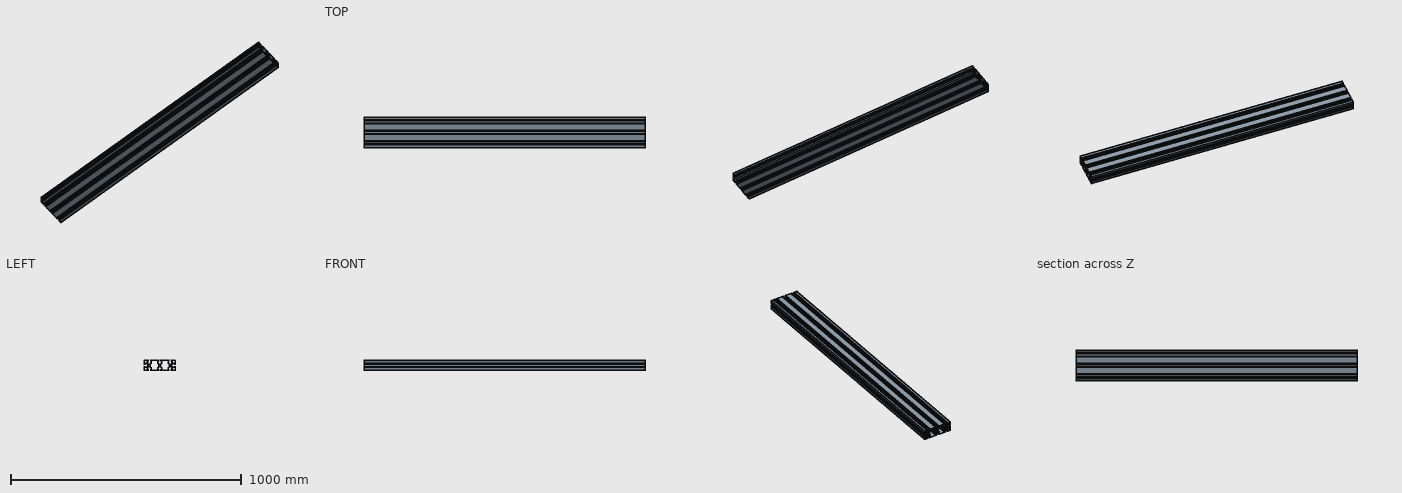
import cadquery as cq

LENGTH = 1219.2
MODULE = 45.0
MODULE_COUNT = 3
WIDTH = MODULE * MODULE_COUNT
HEIGHT = MODULE
HALF_HEIGHT = HEIGHT / 2
OUTER_MODULE_Y = MODULE * (MODULE_COUNT - 1) / 2
MODULE_CENTERS = [i * MODULE - OUTER_MODULE_Y for i in range(MODULE_COUNT)]
CORNER_RADIUS = 2.5
SKIN = 2.0
INNER_LEVEL = HALF_HEIGHT - SKIN

SLOT_OPENING = 8.0
MOUTH_RADIUS = 0.5
LIP_THICKNESS = 4.2
CAVITY_WIDTH = 13.0
CAVITY_WALL_DEPTH = 11.0
FLOOR_WIDTH = 8.0
SLOT_DEPTH = 15.5
CUT_OVERRUN = 1.0

CHAMBER_WIDTH = 25.6
CHAMBER_CORE_WIDTH = 33.0
CHAMBER_CORE_HEIGHT = 18.0

POCKET_NEAR = 9.8
POCKET_FAR = INNER_LEVEL
POCKET_SIZE = POCKET_FAR - POCKET_NEAR
POCKET_CENTER = (POCKET_FAR + POCKET_NEAR) / 2

CORE_BORE = 7.5


def section(y=0.0, z=0.0):
    """Workplane on the -X end, with its origin at the given Y and Z."""
    return cq.Workplane("YZ", origin=(-LENGTH / 2, y, z))


def bar():
    """Solid bar with rounded long edges."""
    return cq.Workplane("XY").box(LENGTH, WIDTH, HEIGHT).edges("|X").fillet(CORNER_RADIUS)


def t_slot(module_y, angle):
    """T-slot cutter that opens upward, then turns about its module's axis."""
    mouth = SLOT_OPENING / 2
    rounded_mouth = mouth + MOUTH_RADIUS
    cavity = CAVITY_WIDTH / 2
    floor = FLOOR_WIDTH / 2
    top = HALF_HEIGHT + CUT_OVERRUN
    mouth_level = HALF_HEIGHT - MOUTH_RADIUS
    lip_level = HALF_HEIGHT - LIP_THICKNESS
    taper_level = HALF_HEIGHT - CAVITY_WALL_DEPTH
    floor_level = HALF_HEIGHT - SLOT_DEPTH
    slot = (
        section()
        .moveTo(-rounded_mouth, top)
        .lineTo(rounded_mouth, top)
        .lineTo(rounded_mouth, HALF_HEIGHT)
        .radiusArc((mouth, mouth_level), -MOUTH_RADIUS)
        .lineTo(mouth, lip_level)
        .lineTo(cavity, lip_level)
        .lineTo(cavity, taper_level)
        .lineTo(floor, floor_level)
        .lineTo(-floor, floor_level)
        .lineTo(-cavity, taper_level)
        .lineTo(-cavity, lip_level)
        .lineTo(-mouth, lip_level)
        .lineTo(-mouth, mouth_level)
        .radiusArc((-rounded_mouth, HALF_HEIGHT), -MOUTH_RADIUS)
        .close()
        .extrude(LENGTH)
    )
    return slot.rotate((0, 0, 0), (1, 0, 0), angle).translate((0, module_y, 0))


def chamber(center_y):
    """Tall hollow crossed by a wider, lower band that reaches toward the cores."""
    tall = section(center_y).rect(CHAMBER_WIDTH, 2 * INNER_LEVEL).extrude(LENGTH)
    wide = section(center_y).rect(CHAMBER_CORE_WIDTH, CHAMBER_CORE_HEIGHT).extrude(LENGTH)
    return tall.union(wide)


def corner_pocket(side_y, side_z):
    """Square hollow in one outer corner; the sides are -1 or +1."""
    center_y = side_y * (OUTER_MODULE_Y + POCKET_CENTER)
    return section(center_y, side_z * POCKET_CENTER).rect(POCKET_SIZE, POCKET_SIZE).extrude(LENGTH)


def core_bore(module_y):
    """Through bore along the axis of one module."""
    return section(module_y).circle(CORE_BORE / 2).extrude(LENGTH)


result = bar()

for module_y in MODULE_CENTERS:
    result = result.cut(t_slot(module_y, 0))
    result = result.cut(t_slot(module_y, 180))
    result = result.cut(core_bore(module_y))

for module_y in MODULE_CENTERS[:-1]:
    result = result.cut(chamber(module_y + MODULE / 2))

for side in (-1, 1):
    result = result.cut(t_slot(side * OUTER_MODULE_Y, -90 * side))
    for side_z in (-1, 1):
        result = result.cut(corner_pocket(side, side_z))